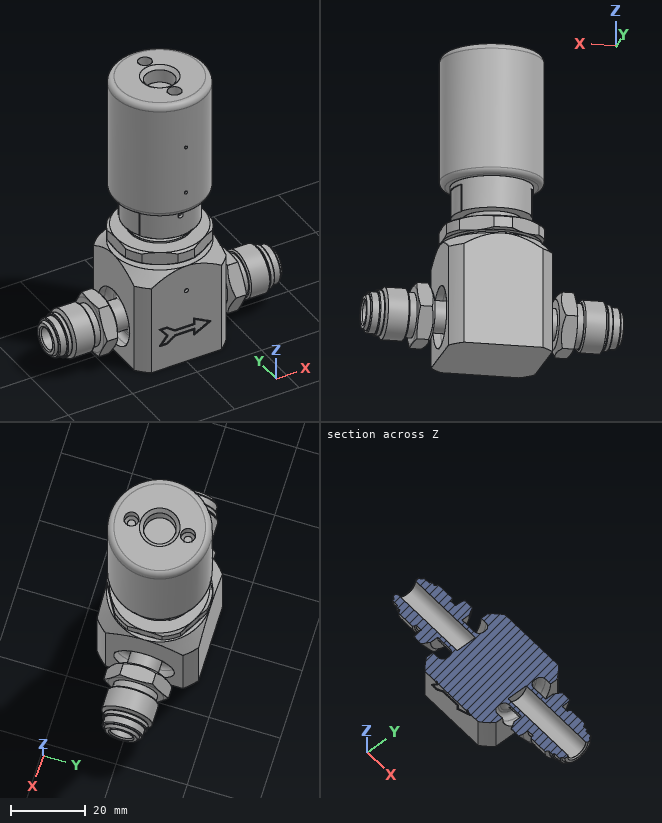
import cadquery as cq
import math

BODY_WIDTH = 28.58
BODY_HEIGHT = 31.4
BODY_CORNER_DIA = 35.94
BODY_TOP_DIA = BODY_WIDTH

BOSS_DIA = 23.6
NUT_BASE_Z = 32.6
NUT_TOP_Z = 36.6
NUT_FLATS = 26.99
NUT_ROUND_DIA = 28.68
WASHER_DIA = 18.29
WASHER_TOP_Z = 37.1
STEM_DIA = 15.75
COLLAR_DIA = 22.47
COLLAR_BASE_Z = 39.5
CAP_DIA = 28.2
CAP_BASE_Z = 48.4
CAP_TOP_Z = 85.1
CAP_TOP_FILLET = 1.8
CAP_BASE_FILLET = 1.5

RELIEF_FLOOR_DIA = 22.0
RELIEF_WIDTH = 11.25
RELIEF_TOP_Z = 47.06

SOCKET_DIA = 8.79
SOCKET_RIM_DIA = 10.9
SOCKET_DEPTH = 5.1
SPANNER_HOLE_DIA = 3.96
SPANNER_HOLE_FLOOR_DIA = 2.25
SPANNER_HOLE_DEPTH = 4.0
SPANNER_HOLE_OFFSET = 7.94

PIN_HOLE_DEPTH = 1.0
PIN_HOLES = [
    (0.79, 70.25, CAP_DIA / 2),
    (0.79, 55.4, CAP_DIA / 2),
    (1.57, 46.15, COLLAR_DIA / 2),
    (1.19, 23.3, BODY_WIDTH / 2),
]

PORT_Z = 11.1
FITTING_END_X = 70.61 / 2
PORT_POCKET_DIA = 17.0
PORT_POCKET_DEPTH = 3.8
PORT_POCKET_FILLET = 1.7
TUBE_DIA = 8.79
BORE_DIA = 6.38
BORE_MOUTH_DIA = 7.2
TIP_DIA = 9.12
TIP_BASE_DIA = 9.9
NOSE_FACE_DIA = 10.9
NOSE_DIA = 11.38
RING_DIA = 12.57
RING_EDGE_DIA = 12.07
THREAD_DIA = 14.29
THREAD_END_DIA = 13.3
THREAD_RELIEF_DIA = 12.32
TIP_LENGTH = 0.9
NOSE_START = 1.2
RING_START = 3.15
RING_END = 4.65
RING_CHAMFER = 0.25
THREAD_START = 5.3
THREAD_END = 10.95
THREAD_END_CHAMFER = 0.4
HEX_START = 13.4
HEX_END = 18.2
HEX_FLATS = 15.88
HEX_INNER_FACE_DIA = 13.8
HEX_OUTER_FACE_DIA = 15.6
HEX_OUTER_CHAMFER = 0.3

ARROW_LINE_WIDTH = 0.25
ARROW_DEPTH = 0.3
ARROW_Z = 10.5
ARROW_TIP_X = 7.6
ARROW_HEAD_X = 2.36
ARROW_TAIL_X = -8.3
ARROW_NOTCH_X = -6.0
ARROW_SHAFT_START_X = -3.5
ARROW_HALF_HEIGHT = 2.75
ARROW_SHAFT_HALF_HEIGHT = 0.95

FITTING_LENGTH = FITTING_END_X - BODY_WIDTH / 2 + PORT_POCKET_DEPTH
HALF_HEX_ANGLE = 30
CHAMFER_SLOPE = math.tan(math.radians(30))


def disc(diameter, z_low, z_high):
    return cq.Workplane("XY").workplane(offset=z_low).circle(diameter / 2).extrude(z_high - z_low)


def hexagon_corner_dia(flats):
    return flats / math.cos(math.radians(HALF_HEX_ANGLE))


def make_body():
    block = cq.Workplane("XY").rect(BODY_WIDTH, BODY_WIDTH).extrude(BODY_HEIGHT)
    cone_height = (BODY_CORNER_DIA - BODY_TOP_DIA) / 2
    turned = disc(BODY_CORNER_DIA, 0, BODY_HEIGHT).faces(">Z").chamfer(cone_height)
    return block.intersect(turned)


def make_bonnet_nut():
    height = NUT_TOP_Z - NUT_BASE_Z
    corner_dia = hexagon_corner_dia(NUT_FLATS)
    hexagon = (
        cq.Workplane("XY", origin=(0, 0, NUT_BASE_Z))
        .polygon(6, corner_dia)
        .extrude(height)
        .rotate((0, 0, 0), (0, 0, 1), HALF_HEX_ANGLE)
    )
    radial = (NUT_ROUND_DIA - NUT_FLATS) / 2
    rounding = disc(NUT_ROUND_DIA, NUT_BASE_Z, NUT_TOP_Z)
    rounding = rounding.faces(">Z").edges().chamfer(radial * CHAMFER_SLOPE, radial)
    rounding = rounding.faces("<Z").edges().chamfer(radial * CHAMFER_SLOPE, radial)
    return hexagon.intersect(rounding)


def make_collar():
    collar = disc(COLLAR_DIA, COLLAR_BASE_Z, CAP_BASE_Z)
    relief_height = RELIEF_TOP_Z - COLLAR_BASE_Z
    relief = cq.Workplane("XY", origin=(0, 0, COLLAR_BASE_Z)).rect(2 * COLLAR_DIA, RELIEF_WIDTH)
    relief = relief.extrude(relief_height).cut(disc(RELIEF_FLOOR_DIA, COLLAR_BASE_Z, RELIEF_TOP_Z))
    return collar.cut(relief)


def make_cap():
    cap = disc(CAP_DIA, CAP_BASE_Z, CAP_TOP_Z)
    cap = cap.faces(">Z").edges().fillet(CAP_TOP_FILLET)
    cap = cap.faces("<Z").edges().fillet(CAP_BASE_FILLET)

    rim_chamfer = (SOCKET_RIM_DIA - SOCKET_DIA) / 2
    socket = disc(SOCKET_DIA, CAP_TOP_Z - SOCKET_DEPTH, CAP_TOP_Z)
    socket = socket.union(
        cq.Workplane("XY", origin=(0, 0, CAP_TOP_Z - rim_chamfer))
        .circle(SOCKET_DIA / 2)
        .workplane(offset=rim_chamfer)
        .circle(SOCKET_RIM_DIA / 2)
        .loft()
    )
    cap = cap.cut(socket)

    floor_chamfer = (SPANNER_HOLE_DIA - SPANNER_HOLE_FLOOR_DIA) / 2
    spanner_hole = disc(SPANNER_HOLE_DIA, CAP_TOP_Z - SPANNER_HOLE_DEPTH, CAP_TOP_Z)
    spanner_hole = spanner_hole.faces("<Z").edges().chamfer(floor_chamfer)
    for side in (-1, 1):
        cap = cap.cut(spanner_hole.translate((0, side * SPANNER_HOLE_OFFSET, 0)))
    return cap


def make_fitting():
    """Left-hand fitting: revolved about the port axis, outer end at -X."""
    mouth_chamfer = (BORE_MOUTH_DIA - BORE_DIA) / 2
    stations = [
        (mouth_chamfer, BORE_DIA),
        (0, BORE_MOUTH_DIA),
        (0, TIP_DIA),
        (TIP_LENGTH, TIP_BASE_DIA),
        (TIP_LENGTH, NOSE_FACE_DIA),
        (NOSE_START, NOSE_DIA),
        (RING_START, NOSE_DIA),
        (RING_START, RING_EDGE_DIA),
        (RING_START + RING_CHAMFER, RING_DIA),
        (RING_END - RING_CHAMFER, RING_DIA),
        (RING_END, THREAD_RELIEF_DIA),
        (THREAD_START, THREAD_DIA),
        (THREAD_END, THREAD_DIA),
        (THREAD_END + THREAD_END_CHAMFER, THREAD_END_DIA),
        (THREAD_END + THREAD_END_CHAMFER, THREAD_RELIEF_DIA),
        (HEX_START, THREAD_RELIEF_DIA),
        (HEX_START, TUBE_DIA),
        (FITTING_LENGTH - PORT_POCKET_FILLET, TUBE_DIA),
    ]
    profile = [(distance, diameter / 2) for distance, diameter in stations]
    flare_end = (FITTING_LENGTH, TUBE_DIA / 2 + PORT_POCKET_FILLET)
    turned = (
        cq.Workplane("XY")
        .polyline(profile)
        .tangentArcPoint(flare_end, relative=False)
        .lineTo(FITTING_LENGTH, BORE_DIA / 2)
        .close()
        .revolve(360, (0, 0), (1, 0))
    )

    hex_length = HEX_END - HEX_START
    corner_dia = hexagon_corner_dia(HEX_FLATS)
    hexagon = cq.Workplane("YZ", origin=(HEX_START, 0, 0)).polygon(6, corner_dia).extrude(hex_length)
    inner_radial = (corner_dia - HEX_INNER_FACE_DIA) / 2
    outer_radial = (corner_dia - HEX_OUTER_FACE_DIA) / 2
    cone = cq.Workplane("YZ", origin=(HEX_START, 0, 0)).circle(corner_dia / 2).extrude(hex_length)
    cone = cone.faces(">X").edges().chamfer(inner_radial * CHAMFER_SLOPE, inner_radial)
    cone = cone.faces("<X").edges().chamfer(HEX_OUTER_CHAMFER, outer_radial)
    bore = cq.Workplane("YZ").circle(BORE_DIA / 2).extrude(FITTING_LENGTH)
    nut = hexagon.intersect(cone).cut(bore)
    return turned.union(nut).translate((-FITTING_END_X, 0, PORT_Z))


def make_port_pocket():
    """Left-hand round pocket with a filleted floor; the flared tube root sits on that floor."""
    body_face = cq.Workplane("YZ", origin=(-BODY_WIDTH / 2, 0, PORT_Z))
    pocket = body_face.circle(PORT_POCKET_DIA / 2).extrude(PORT_POCKET_DEPTH)
    return pocket.faces(">X").edges().fillet(PORT_POCKET_FILLET)


def make_arrow():
    upper = [
        (ARROW_TIP_X, 0),
        (ARROW_HEAD_X, ARROW_HALF_HEIGHT),
        (ARROW_HEAD_X, ARROW_SHAFT_HALF_HEIGHT),
        (ARROW_SHAFT_START_X, ARROW_SHAFT_HALF_HEIGHT),
        (ARROW_NOTCH_X, ARROW_HALF_HEIGHT),
        (ARROW_TAIL_X, ARROW_HALF_HEIGHT),
        (ARROW_NOTCH_X, 0),
    ]
    lower = [(x, -z) for x, z in reversed(upper[1:-1])]
    front_face = cq.Workplane("XZ", origin=(0, -BODY_WIDTH / 2, ARROW_Z))
    arrow = front_face.polyline(upper + lower).close().extrude(-ARROW_DEPTH)
    island = front_face.polyline(upper + lower).close().offset2D(-ARROW_LINE_WIDTH, "intersection")
    return arrow.cut(island.extrude(-ARROW_DEPTH))


def make_pin_hole(diameter, z, surface_y):
    wall = cq.Workplane("XZ", origin=(0, -surface_y, z))
    return wall.circle(diameter / 2).extrude(-PIN_HOLE_DEPTH)


body = make_body().cut(make_arrow())
left_pocket = make_port_pocket()
left_fitting = make_fitting()
body = body.cut(left_pocket).cut(left_pocket.mirror("YZ"))

result = (
    body.union(disc(BOSS_DIA, BODY_HEIGHT, NUT_BASE_Z))
    .union(make_bonnet_nut())
    .union(disc(WASHER_DIA, NUT_TOP_Z, WASHER_TOP_Z))
    .union(disc(STEM_DIA, WASHER_TOP_Z, COLLAR_BASE_Z))
    .union(make_collar())
    .union(make_cap())
    .union(left_fitting)
    .union(left_fitting.mirror("YZ"))
)
for hole in PIN_HOLES:
    result = result.cut(make_pin_hole(*hole))